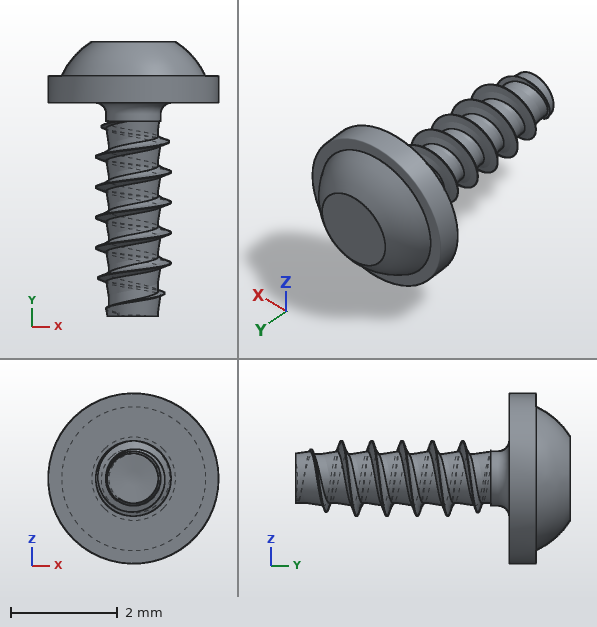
import cadquery as cq
import math

TOTAL_LENGTH = 5.15

FLANGE_RADIUS = 3.2 / 2
FLANGE_THICKNESS = 0.505
FLANGE_EDGE_ROUND = 0.02
HEAD_HEIGHT = 1.15
DOME_BASE_RADIUS = 1.35
DOME_TOP_RADIUS = 0.785

NECK_RADIUS = 0.515
NECK_LENGTH = 0.34
NECK_FILLET = 0.2
CORE_RADIUS = 0.465
TIP_DISH_RADIUS = 0.435
TIP_DISH_DEPTH = 0.035
SHANK_LENGTH = TOTAL_LENGTH - HEAD_HEIGHT

FOUR_TURN_ADVANCE = 2.275
PITCH = FOUR_TURN_ADVANCE / 4
CREST_RADIUS = 0.705
CREST_HALF_WIDTH = 0.0075
LAND_RADIUS = 0.51
LAND_END = 0.42
LAND_END_RADIUS = 0.455
TIP_SIDE_FOOT = 0.075
HEAD_SIDE_FOOT = 0.145
KNEE_OFFSET = 0.05
KNEE_RADIUS = 0.57
BURIED_RADIUS = CORE_RADIUS - 0.05
FIRST_CREST_DEPTH = 0.3

THREAD_STATIONS = [
    (-0.6, 0.05),
    (-0.25, 0.15),
    (1.0, 1.0),
    (5.0, 1.0),
    (6.2, 0.05),
    (6.4, 0.05),
]
POINTS_PER_TURN = 16


def head_and_shank():
    """Revolve the dome, flange, neck and plain core about Y."""
    dome_height = HEAD_HEIGHT - FLANGE_THICKNESS
    center_drop = (DOME_BASE_RADIUS**2 - DOME_TOP_RADIUS**2 - dome_height**2) / (2 * dome_height)
    sphere_radius = math.hypot(DOME_BASE_RADIUS, center_drop)
    mid_height = dome_height / 2
    mid_radius = math.sqrt(sphere_radius**2 - (center_drop + mid_height) ** 2)

    edge = FLANGE_EDGE_ROUND
    fillet_end = NECK_RADIUS + NECK_FILLET
    fillet_mid = NECK_FILLET * (1 - math.sqrt(0.5))
    profile = (
        cq.Workplane("XY")
        .moveTo(0, HEAD_HEIGHT)
        .lineTo(DOME_TOP_RADIUS, HEAD_HEIGHT)
        .threePointArc((mid_radius, FLANGE_THICKNESS + mid_height), (DOME_BASE_RADIUS, FLANGE_THICKNESS))
        .lineTo(FLANGE_RADIUS - edge, FLANGE_THICKNESS)
        .radiusArc((FLANGE_RADIUS, FLANGE_THICKNESS - edge), edge)
        .lineTo(FLANGE_RADIUS, edge)
        .radiusArc((FLANGE_RADIUS - edge, 0), edge)
        .lineTo(fillet_end, 0)
        .threePointArc((NECK_RADIUS + fillet_mid, -fillet_mid), (NECK_RADIUS, -NECK_FILLET))
        .lineTo(NECK_RADIUS, -NECK_LENGTH)
        .lineTo(CORE_RADIUS, -NECK_LENGTH)
        .lineTo(CORE_RADIUS, -SHANK_LENGTH)
        .lineTo(TIP_DISH_RADIUS, -SHANK_LENGTH)
        .lineTo(0, -SHANK_LENGTH + TIP_DISH_DEPTH)
        .close()
    )
    return profile.revolve(360, (0, 0, 0), (0, 1, 0))


def thread_profile(scale):
    """Corners of the thread section as (distance from crest towards the tip, radius)."""
    crest = LAND_RADIUS + scale * (CREST_RADIUS - LAND_RADIUS)
    knee = LAND_RADIUS + scale * (KNEE_RADIUS - LAND_RADIUS)
    return [
        (-HEAD_SIDE_FOOT * scale, BURIED_RADIUS),
        (-KNEE_OFFSET * scale, knee),
        (-CREST_HALF_WIDTH * scale, crest),
        (CREST_HALF_WIDTH * scale, crest),
        (TIP_SIDE_FOOT * scale, LAND_RADIUS),
        (LAND_END, LAND_END_RADIUS),
        (LAND_END, BURIED_RADIUS),
    ]


def section_points(turn, scale):
    """Place the thread section on the right-hand helix, starting at +Z and turning to -X."""
    angle = 2 * math.pi * turn
    crest_y = -FIRST_CREST_DEPTH - PITCH * turn
    return [
        cq.Vector(-radius * math.sin(angle), crest_y - offset, radius * math.cos(angle))
        for offset, radius in thread_profile(scale)
    ]


def thread_stretch(start, end):
    """Solid thread between two stations, with the ridge scale changing evenly."""
    (start_turn, start_scale), (end_turn, end_scale) = start, end
    steps = math.ceil((end_turn - start_turn) * POINTS_PER_TURN)
    sections = []
    for step in range(steps + 1):
        part = step / steps
        turn = start_turn + part * (end_turn - start_turn)
        scale = start_scale + part * (end_scale - start_scale)
        sections.append(section_points(turn, scale))

    helices = [cq.Edge.makeSpline(list(corner)) for corner in zip(*sections)]
    faces = [
        cq.Face.makeRuledSurface(helix, helices[(i + 1) % len(helices)])
        for i, helix in enumerate(helices)
    ]
    for section in (sections[0], sections[-1]):
        faces.append(cq.Face.makeFromWires(cq.Wire.makePolygon(section, close=True)))
    return cq.Solid.makeSolid(cq.Shell.makeShell(faces))


def thread():
    """Join the stretches and trim them to the length between neck and tip."""
    stretches = [thread_stretch(a, b) for a, b in zip(THREAD_STATIONS, THREAD_STATIONS[1:])]
    ring_inner_radius = (BURIED_RADIUS + CORE_RADIUS) / 2
    trim = (
        cq.Workplane("XZ", origin=(0, -NECK_LENGTH, 0))
        .circle(FLANGE_RADIUS)
        .circle(ring_inner_radius)
        .extrude(SHANK_LENGTH - NECK_LENGTH)
    )
    joined = cq.Workplane(stretches[0])
    for stretch in stretches[1:]:
        joined = joined.union(cq.Workplane(stretch))
    return joined.intersect(trim)


result = head_and_shank().union(thread())